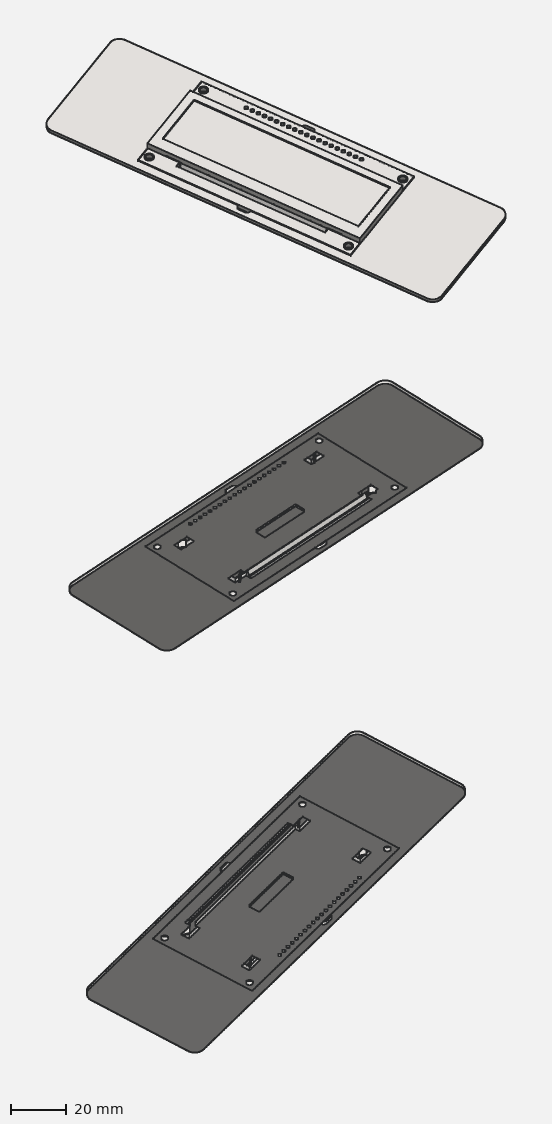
import cadquery as cq

overall_height = 5.7
tab_drop = 1.0
plate_thickness = 1.6
board_proud = 0.5

plate_bottom = tab_drop
board_bottom = plate_bottom
board_thickness = plate_thickness + board_proud
board_top = board_bottom + board_thickness

plate_length = 165.0
plate_width = 51.1
plate_corner_radius = 4.0
notch_length = 5.5
notch_depth = 1.5
notch_corner_radius = 1.5

board_length = 89.0
board_width = 44.2
mount_hole_diameter = 2.5
mount_pad_diameter = 3.5
mount_spacing_x = 83.4
mount_spacing_y = 37.8
pin_count = 20
pin_pitch = 2.54
pin_hole_diameter = 1.2
pin_pad_diameter = 1.5
pad_height = 0.05
pin_row_y = 19.4
tab_slot_length = 6.5
tab_slot_width = 3.5
tab_slot_spacing_x = 67.0
tab_slot_outer_y = 15.2
cable_slot_length = 62.2
cable_slot_outer_y = -17.6
cable_slot_width = 4.0
chip_length = 20.4
chip_width = 4.4
chip_center_y = -2.1

bezel_width = 29.8
bezel_center_y = -0.65
bezel_height = overall_height - board_top
window_length = 82.0
window_width = 22.0
window_center_y = 0.2
window_depth = 0.6
glass_thickness = 1.0
tab_length = 2.8
tab_thickness = 0.5
tab_twist = 35.0
tab_inset = 1.1
outer_tab_x = 34.8
inner_tab_x = 33.4
cable_length = 61.0
cable_reach = 1.0
cable_thickness = 0.5

glass_bottom = overall_height - window_depth - glass_thickness
bezel_front_y = bezel_center_y - bezel_width / 2
bezel_rear_y = bezel_center_y + bezel_width / 2


def block(length, width, height, center_y, bottom):
    """Box centred on X, placed by the middle of its width and its underside."""
    return (
        cq.Workplane("XY", origin=(0, center_y, bottom))
        .rect(length, width)
        .extrude(height)
    )


def make_plate():
    """Rounded plate with an opening for the board and a pry notch at each long side."""
    plate = block(plate_length, plate_width, plate_thickness, 0, plate_bottom)
    plate = plate.edges("|Z").fillet(plate_corner_radius)
    opening = block(board_length, board_width, plate_thickness, 0, plate_bottom)
    notches = block(
        notch_length, board_width + 2 * notch_depth, plate_thickness, 0, plate_bottom
    )
    notches = notches.edges("|Z").fillet(notch_corner_radius)
    return plate.cut(opening).cut(notches)


def make_board():
    """Circuit board with ringed holes, slots and a chip underneath."""
    board = block(board_length, board_width, board_thickness, 0, board_bottom)
    top = cq.Workplane("XY", origin=(0, 0, board_top))

    mounts = top.rect(mount_spacing_x, mount_spacing_y, forConstruction=True).vertices()
    board = board.union(mounts.circle(mount_pad_diameter / 2).extrude(pad_height))
    board = board.cut(mounts.circle(mount_hole_diameter / 2).extrude(board_thickness, both=True))

    pins = top.center(0, pin_row_y).rarray(pin_pitch, 1, pin_count, 1)
    board = board.union(pins.circle(pin_pad_diameter / 2).extrude(pad_height))
    board = board.cut(pins.circle(pin_hole_diameter / 2).extrude(board_thickness, both=True))

    tab_slots = top.rarray(
        tab_slot_spacing_x, 2 * tab_slot_outer_y - tab_slot_width, 2, 2
    )
    board = board.cut(
        tab_slots.rect(tab_slot_length, tab_slot_width).extrude(-board_thickness)
    )

    cable_slot = block(
        cable_slot_length,
        cable_slot_width,
        board_thickness,
        cable_slot_outer_y + cable_slot_width / 2,
        board_bottom,
    )
    chip = block(chip_length, chip_width, tab_drop, chip_center_y, 0)
    return board.cut(cable_slot).union(chip)


def make_bezel():
    """Bezel with its window, four twisted tabs and the sloping flat cable."""
    bezel = block(board_length, bezel_width, bezel_height, bezel_center_y, board_top)
    window = block(
        window_length,
        window_width,
        window_depth + glass_thickness,
        window_center_y,
        glass_bottom,
    )
    bezel = bezel.cut(window)

    front_tab_y = bezel_front_y + tab_inset
    rear_tab_y = bezel_rear_y - tab_inset
    tab_places = [
        (-outer_tab_x, front_tab_y, tab_twist),
        (outer_tab_x, rear_tab_y, tab_twist),
        (-inner_tab_x, rear_tab_y, -tab_twist),
        (inner_tab_x, front_tab_y, -tab_twist),
    ]
    for tab_x, tab_y, twist in tab_places:
        tab = (
            cq.Workplane("XY")
            .transformed(offset=(tab_x, tab_y, 0), rotate=(0, 0, twist))
            .rect(tab_length, tab_thickness)
            .extrude(board_top)
        )
        bezel = bezel.union(tab)

    cable = (
        cq.Workplane("YZ", origin=(-cable_length / 2, 0, 0))
        .moveTo(bezel_front_y, board_top)
        .lineTo(bezel_front_y - cable_reach, board_bottom)
        .lineTo(bezel_front_y - cable_reach + cable_thickness, board_bottom)
        .lineTo(bezel_front_y + cable_thickness, board_top)
        .close()
        .extrude(cable_length)
    )
    return bezel.union(cable)


def make_glass():
    """Glass pane lying at the bottom of the bezel window."""
    return block(window_length, window_width, glass_thickness, window_center_y, glass_bottom)


plate = make_plate()
module = make_board().union(make_bezel())
glass = make_glass()

result = cq.Compound.makeCompound([plate.val(), module.val(), glass.val()])